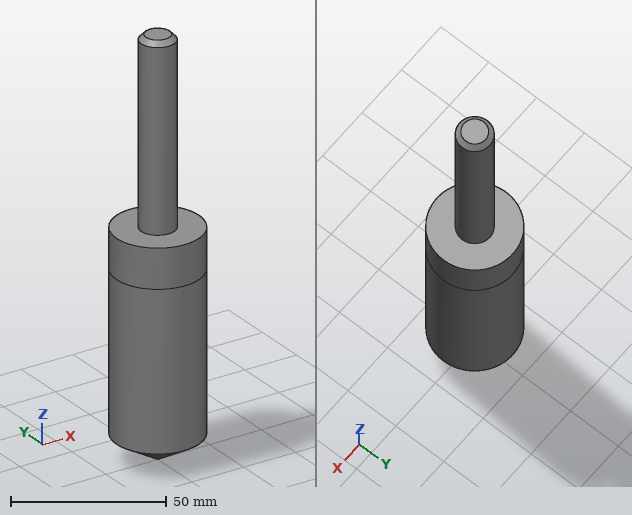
import cadquery as cq

total_height = 152.4
body_diameter = 31.7
point_height = 9.6
weight_height = 68.6
collar_height = 14.8
rod_diameter = 12.6
rod_chamfer = 1.8

body_radius = body_diameter / 2
collar_top = weight_height + collar_height
rod_length = total_height - collar_top


def make_weight():
    """Solid cylinder ending in a conical point at the origin."""
    return (
        cq.Workplane("XZ")
        .moveTo(0, 0)
        .lineTo(body_radius, point_height)
        .lineTo(body_radius, weight_height)
        .lineTo(0, weight_height)
        .close()
        .revolve(360, (0, 0), (0, 1))
    )


def make_cap():
    """Collar resting on the weight, with a chamfered rod rising from it."""
    collar = (
        cq.Workplane("XY")
        .workplane(offset=weight_height)
        .circle(body_radius)
        .extrude(collar_height)
    )
    rod = (
        cq.Workplane("XY")
        .workplane(offset=collar_top)
        .circle(rod_diameter / 2)
        .extrude(rod_length)
        .faces(">Z")
        .chamfer(rod_chamfer)
    )
    return collar.union(rod)


weight = make_weight()
cap = make_cap()

result = cq.Compound.makeCompound([weight.val(), cap.val()])